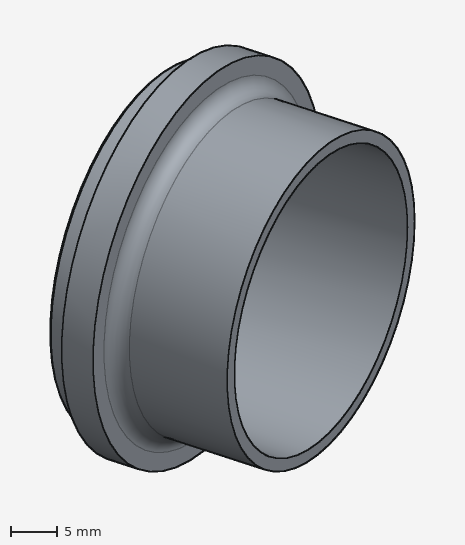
import cadquery as cq

bore_diameter = 35.6
tube_diameter = 38.6
spigot_diameter = 42.7
flange_diameter = 47.0

overall_length = 21.5
spigot_length = 3.0
flange_thickness = 4.0
root_fillet_radius = 2.0
spigot_chamfer = 0.3

flange_end = spigot_length + flange_thickness


def disc(diameter, start, end):
    """Solid cylinder along X between two stations."""
    return cq.Workplane("YZ").workplane(offset=start).circle(diameter / 2).extrude(end - start)


def make_spigot():
    """Locating spigot with a chamfered leading edge."""
    spigot = disc(spigot_diameter, 0, spigot_length)
    return spigot.faces("<X").edges().chamfer(spigot_chamfer)


def make_flanged_tube():
    """Flange and tube, with the corner between them filleted."""
    flange = disc(flange_diameter, spigot_length, flange_end)
    tube = disc(tube_diameter, flange_end, overall_length)
    root_corner = cq.selectors.RadiusNthSelector(0)
    body = flange.union(tube)
    return body.faces(">X[-2]").edges(root_corner).fillet(root_fillet_radius)


bore = disc(bore_diameter, 0, overall_length)

result = make_spigot().union(make_flanged_tube()).cut(bore)